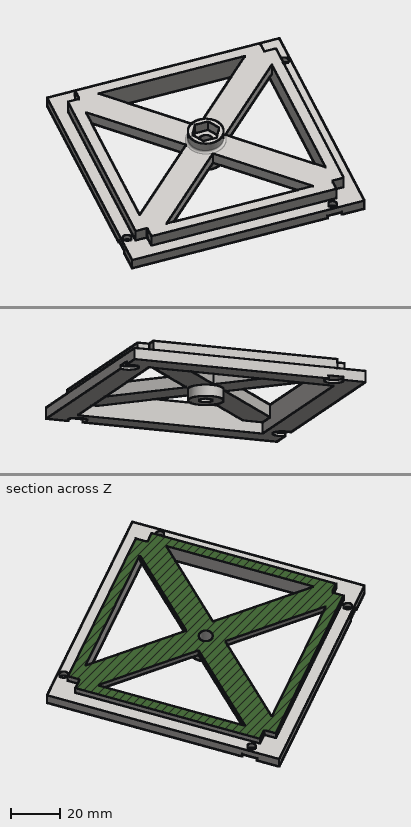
import cadquery as cq
import math

plate_size = 100.0
base_height = 4.7

step_inset = 5.2
step_height = 5.3
step_size = plate_size - 2 * step_inset
notch_size = 5.0
opening_size = 80.0
deck_height = base_height + step_height

strut_width = 12.0
strut_angle = 45

total_height = 14.8
hub_diameter = 14.5
hub_fillet = 1.0
nut_across_flats = 10.0
nut_depth = 4.8
half_hex_angle = 30
bore_diameter = 5.5

pin_diameter = 3.5
pin_depth = 2.5
pin_edge_distance = 2.5
pin_side_offset = 37.2
pocket_diameter = 7.8
pocket_depth = 1.3


def square_block(size, bottom, height):
    return cq.Workplane("XY").workplane(offset=bottom).rect(size, size).extrude(height)


def cylinder(x, y, diameter, bottom, height):
    return cq.Workplane("XY").workplane(offset=bottom).center(x, y).circle(diameter / 2).extrude(height)


def turn_about_z(solid, angle):
    return solid.rotate((0, 0, 0), (0, 0, 1), angle)


def make_frame():
    """Base rim and raised step, with the corners of the step notched and a square opening."""
    step = square_block(step_size, base_height, step_height)
    corner_notches = (
        cq.Workplane("XY")
        .workplane(offset=base_height)
        .rect(step_size, step_size, forConstruction=True)
        .vertices()
        .rect(2 * notch_size, 2 * notch_size)
        .extrude(step_height)
    )
    base = square_block(plate_size, 0, base_height)
    opening = square_block(opening_size, 0, deck_height)
    return base.union(step.cut(corner_notches)).cut(opening)


def make_struts():
    """Two crossing diagonal struts, trimmed to the square opening."""
    length = opening_size * math.sqrt(2) + strut_width
    strut = cq.Workplane("XY").workplane(offset=base_height).rect(length, strut_width).extrude(step_height)
    cross = turn_about_z(strut, strut_angle).union(turn_about_z(strut, -strut_angle))
    return cross.intersect(square_block(opening_size, base_height, step_height))


def make_hub():
    """Full-height hub with a fillet flaring out onto the struts."""
    radius = hub_diameter / 2
    foot_radius = radius + hub_fillet
    arc_middle = hub_fillet * (1 - math.sqrt(0.5))
    return (
        cq.Workplane("XZ")
        .moveTo(0, 0)
        .lineTo(radius, 0)
        .lineTo(radius, deck_height)
        .lineTo(foot_radius, deck_height)
        .threePointArc((radius + arc_middle, deck_height + arc_middle), (radius, deck_height + hub_fillet))
        .lineTo(radius, total_height)
        .lineTo(0, total_height)
        .close()
        .revolve(360, (0, 0), (0, 1))
    )


def cut_nut_seat(body):
    """Hexagonal nut pocket with corners along Y, above a through bore."""
    across_corners = nut_across_flats / math.cos(math.radians(half_hex_angle))
    nut_floor = cq.Workplane("XY").workplane(offset=total_height - nut_depth)
    nut = nut_floor.polygon(6, across_corners).extrude(nut_depth)
    return body.cut(turn_about_z(nut, half_hex_angle)).cut(cylinder(0, 0, bore_diameter, 0, total_height))


def cut_pin_holes(body):
    """One blind pin hole and one underside pocket on each side of the rim."""
    edge = plate_size / 2 - pin_edge_distance
    centres = [
        (pin_side_offset, -edge),
        (edge, pin_side_offset),
        (-pin_side_offset, edge),
        (-edge, -pin_side_offset),
    ]
    for x, y in centres:
        body = body.cut(cylinder(x, y, pin_diameter, base_height - pin_depth, pin_depth))
        body = body.cut(cylinder(x, y, pocket_diameter, 0, pocket_depth))
    return body


body = make_frame().union(make_struts()).union(make_hub())
result = cut_pin_holes(cut_nut_seat(body))